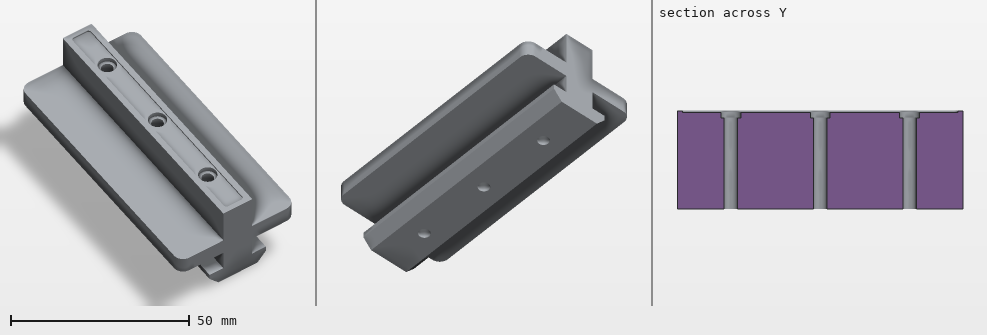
import cadquery as cq

length = 80.0
height = 27.6
web_width = 9.8

plate_width = 39.0
plate_bottom = 11.2
plate_thickness = 5.2
plate_corner_radius = 3.0

foot_width = 19.0
foot_base_width = 13.2
foot_height = 4.9
bevel_height = 3.2

recess_inset = 1.5
recess_width = 6.2
recess_depth = 0.5
recess_corner_radius = 1.0

hole_spacing = 25.0
hole_diameter = 3.6
counterbore_diameter = 5.4
counterbore_depth = 1.5


def make_web():
    return cq.Workplane("XY").box(length, web_width, height, centered=(True, True, False))


def make_plate():
    plate = cq.Workplane("XY").workplane(offset=plate_bottom).rect(length, plate_width)
    return plate.extrude(plate_thickness).edges("|Z").fillet(plate_corner_radius)


def make_foot():
    outline = [
        (-foot_base_width / 2, 0),
        (foot_base_width / 2, 0),
        (foot_width / 2, bevel_height),
        (foot_width / 2, foot_height),
        (-foot_width / 2, foot_height),
        (-foot_width / 2, bevel_height),
    ]
    return cq.Workplane("YZ").polyline(outline).close().extrude(length / 2, both=True)


def make_recess():
    recess = cq.Workplane("XY").workplane(offset=height - recess_depth)
    recess = recess.rect(length - 2 * recess_inset, recess_width).extrude(recess_depth)
    return recess.edges("|Z").fillet(recess_corner_radius)


def make_holes():
    centers = [(-hole_spacing, 0), (0, 0), (hole_spacing, 0)]
    through = cq.Workplane("XY").pushPoints(centers).circle(hole_diameter / 2).extrude(height)
    counterbore_floor = height - recess_depth - counterbore_depth
    counterbores = cq.Workplane("XY").workplane(offset=counterbore_floor).pushPoints(centers)
    counterbores = counterbores.circle(counterbore_diameter / 2).extrude(counterbore_depth)
    return through.union(counterbores)


body = make_web().union(make_plate()).union(make_foot())
result = body.cut(make_recess()).cut(make_holes())